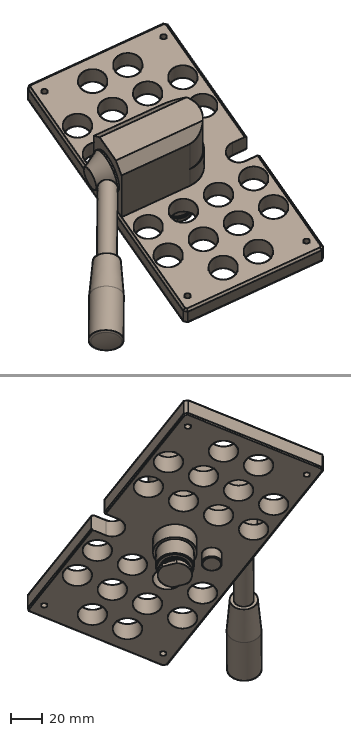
import cadquery as cq


PLATE_LENGTH = 206.0
PLATE_WIDTH = 103.0
PLATE_THICKNESS = 14.0
CORNER_CHAMFER = 2.0
TOP_CHAMFER = 1.5
BOTTOM_CHAMFER = 1.0

HOLE_DIAMETER = 19.0
HOLE_PITCH = 25.9
INNER_COLUMN_X = 33.0
ROW_COUNT = 4
FULL_ROW_COLUMNS = 3
OUTER_ROW_COLUMNS = 2

CORNER_HOLE_DIAMETER = 4.0
CORNER_HOLE_X = 93.0
CORNER_HOLE_Y = 43.9

NOTCH_X = 10.1
NOTCH_WIDTH = 16.6
NOTCH_DEPTH = 19.0

BODY_WIDTH = 36.0
BODY_HEIGHT = 53.0
BODY_CHAMFER = 7.5
BODY_FRONT_Y = -PLATE_WIDTH / 2 + TOP_CHAMFER
BODY_SIDE_LENGTH = 50.4
BODY_STEP_HEIGHT = 18.2
BODY_STEP = 1.0

POST_Y = BODY_FRONT_Y + BODY_SIDE_LENGTH
POST_DIAMETER = 28.1
POST_LENGTH = 11.7
LOWER_POST_DIAMETER = 24.5
LOWER_POST_LENGTH = 13.3
LOWER_POST_CHAMFER = 0.7
NECK_DIAMETER = 19.0
NECK_LENGTH = 1.8
COLLAR_DIAMETER = 19.5
COLLAR_LENGTH = 2.0
END_DISC_DIAMETER = 22.0
END_DISC_THICKNESS = 3.4
END_DISC_FLATS = 19.8
END_DISC_FLATS_ANGLE = -50
PIN_DIAMETER = 13.0
PIN_LENGTH = 8.5
PIN_SETBACK = 23.2
PIN_CHAMFER = 0.7
PIN_Y = BODY_FRONT_Y + PIN_SETBACK

HUB_Z = 29.5
HUB_DIAMETER = 30.0
HUB_RIM = 1.3
HUB_TIP_DIAMETER = 16.2
HUB_LENGTH = 13.0
HANDLE_ANGLE = 30
ROD_DIAMETER = 13.0
GRIP_START = 72.0
GRIP_START_DIAMETER = 18.2
GRIP_TAPER_LENGTH = 27.5
GRIP_DIAMETER = 22.5
GRIP_END = 134.3
GRIP_RIM_LENGTH = 0.7
GRIP_RIM_INSET = 1.3
GRIP_DOME = 1.8


def cylinder_down(diameter, length, y, top_z):
    """Vertical cylinder hanging from top_z on the plate's centre line."""
    return cq.Workplane("XY", origin=(0, y, top_z)).circle(diameter / 2).extrude(-length)


def make_plate():
    plate = cq.Workplane("XY").rect(PLATE_LENGTH, PLATE_WIDTH).extrude(-PLATE_THICKNESS)
    plate = plate.edges("|Z").chamfer(CORNER_CHAMFER)
    plate = plate.faces(">Z").edges().chamfer(TOP_CHAMFER)
    plate = plate.faces("<Z").edges().chamfer(BOTTOM_CHAMFER)

    holes = []
    for row in range(ROW_COUNT):
        y = (row - (ROW_COUNT - 1) / 2) * HOLE_PITCH
        is_outer_row = row in (0, ROW_COUNT - 1)
        columns = OUTER_ROW_COLUMNS if is_outer_row else FULL_ROW_COLUMNS
        for column in range(columns):
            x = INNER_COLUMN_X + column * HOLE_PITCH
            holes += [(-x, y), (x, y)]
    large_holes = cq.Workplane("XY").pushPoints(holes).circle(HOLE_DIAMETER / 2)
    plate = plate.cut(large_holes.extrude(-PLATE_THICKNESS))

    corner_holes = (
        cq.Workplane("XY")
        .rect(2 * CORNER_HOLE_X, 2 * CORNER_HOLE_Y, forConstruction=True)
        .vertices()
        .circle(CORNER_HOLE_DIAMETER / 2)
        .extrude(-PLATE_THICKNESS)
    )
    plate = plate.cut(corner_holes)

    radius = NOTCH_WIDTH / 2
    back_y = PLATE_WIDTH / 2
    round_y = back_y - NOTCH_DEPTH + radius
    notch = (
        cq.Workplane("XY")
        .moveTo(NOTCH_X - radius, back_y)
        .lineTo(NOTCH_X - radius, round_y)
        .threePointArc((NOTCH_X, round_y - radius), (NOTCH_X + radius, round_y))
        .lineTo(NOTCH_X + radius, back_y)
        .close()
        .extrude(-PLATE_THICKNESS)
    )
    return plate.cut(notch)


def body_block(back_bulge, bottom_z, top_z):
    """Block with a flat front and an arched back that bulges beyond the straight sides."""
    half = BODY_WIDTH / 2
    return (
        cq.Workplane("XY", origin=(0, 0, bottom_z))
        .moveTo(-half, BODY_FRONT_Y)
        .lineTo(half, BODY_FRONT_Y)
        .lineTo(half, POST_Y)
        .threePointArc((0, POST_Y + back_bulge), (-half, POST_Y))
        .close()
        .extrude(top_z - bottom_z)
    )


def make_body():
    half = BODY_WIDTH / 2
    lower = body_block(half, 0, BODY_STEP_HEIGHT)
    upper = body_block(half - BODY_STEP, BODY_STEP_HEIGHT, BODY_HEIGHT)
    chamfered_prism = (
        cq.Workplane("XZ", origin=(0, PLATE_WIDTH / 2, 0))
        .rect(BODY_WIDTH, 2 * BODY_HEIGHT)
        .extrude(PLATE_WIDTH)
        .edges("|Y and >Z")
        .chamfer(BODY_CHAMFER)
    )
    return lower.union(upper.intersect(chamfered_prism))


def make_post():
    """Stepped post ending in a disc with two parallel flats."""
    upper_z = -PLATE_THICKNESS
    lower_z = upper_z - POST_LENGTH
    neck_z = lower_z - LOWER_POST_LENGTH
    collar_z = neck_z - NECK_LENGTH
    disc_z = collar_z - COLLAR_LENGTH

    upper = cylinder_down(POST_DIAMETER, POST_LENGTH, POST_Y, upper_z)
    lower = cylinder_down(LOWER_POST_DIAMETER, LOWER_POST_LENGTH, POST_Y, lower_z)
    lower = lower.faces("<Z").edges().chamfer(LOWER_POST_CHAMFER)
    neck = cylinder_down(NECK_DIAMETER, NECK_LENGTH, POST_Y, neck_z)
    collar = cylinder_down(COLLAR_DIAMETER, COLLAR_LENGTH, POST_Y, collar_z)

    flats = (
        cq.Workplane("XY")
        .rect(END_DISC_FLATS, END_DISC_DIAMETER)
        .extrude(-END_DISC_THICKNESS)
        .rotate((0, 0, 0), (0, 0, 1), END_DISC_FLATS_ANGLE)
        .translate((0, POST_Y, disc_z))
    )
    disc = cylinder_down(END_DISC_DIAMETER, END_DISC_THICKNESS, POST_Y, disc_z).intersect(flats)
    return upper.union(lower).union(neck).union(collar).union(disc)


def make_pin():
    pin = cylinder_down(PIN_DIAMETER, PIN_LENGTH, PIN_Y, -PLATE_THICKNESS)
    return pin.faces("<Z").edges().chamfer(PIN_CHAMFER)


def make_hub():
    """Short rim and cone pointing forward from the body."""
    profile = (
        cq.Workplane("XY")
        .lineTo(HUB_DIAMETER / 2, 0)
        .lineTo(HUB_DIAMETER / 2, -HUB_RIM)
        .lineTo(HUB_TIP_DIAMETER / 2, -HUB_LENGTH)
        .lineTo(0, -HUB_LENGTH)
        .close()
    )
    hub = profile.revolve(360, (0, 0, 0), (0, 1, 0))
    return hub.translate((0, BODY_FRONT_Y, HUB_Z))


def make_handle():
    """Rod and grip turned about X, then swung forward about the hub's base."""
    grip_radius = GRIP_DIAMETER / 2
    dome_edge = grip_radius - GRIP_RIM_INSET
    dome_radius = (dome_edge**2 + GRIP_DOME**2) / (2 * GRIP_DOME)
    dome_start = GRIP_END + GRIP_RIM_LENGTH
    profile = (
        cq.Workplane("XY")
        .lineTo(0, ROD_DIAMETER / 2)
        .lineTo(GRIP_START, ROD_DIAMETER / 2)
        .lineTo(GRIP_START, GRIP_START_DIAMETER / 2)
        .lineTo(GRIP_START + GRIP_TAPER_LENGTH, grip_radius)
        .lineTo(GRIP_END, grip_radius)
        .lineTo(dome_start, dome_edge)
        .radiusArc((dome_start + GRIP_DOME, 0), dome_radius)
        .close()
    )
    handle = profile.revolve(360, (0, 0, 0), (1, 0, 0))
    handle = handle.rotate((0, 0, 0), (0, 0, 1), -HANDLE_ANGLE)
    body_space = cq.Workplane("XY").box(
        2 * ROD_DIAMETER, ROD_DIAMETER, 2 * ROD_DIAMETER, centered=(True, False, True)
    )
    handle = handle.cut(body_space)
    return handle.translate((0, BODY_FRONT_Y, HUB_Z))


result = (
    make_plate()
    .union(make_body())
    .union(make_post())
    .union(make_pin())
    .union(make_hub())
    .union(make_handle())
)